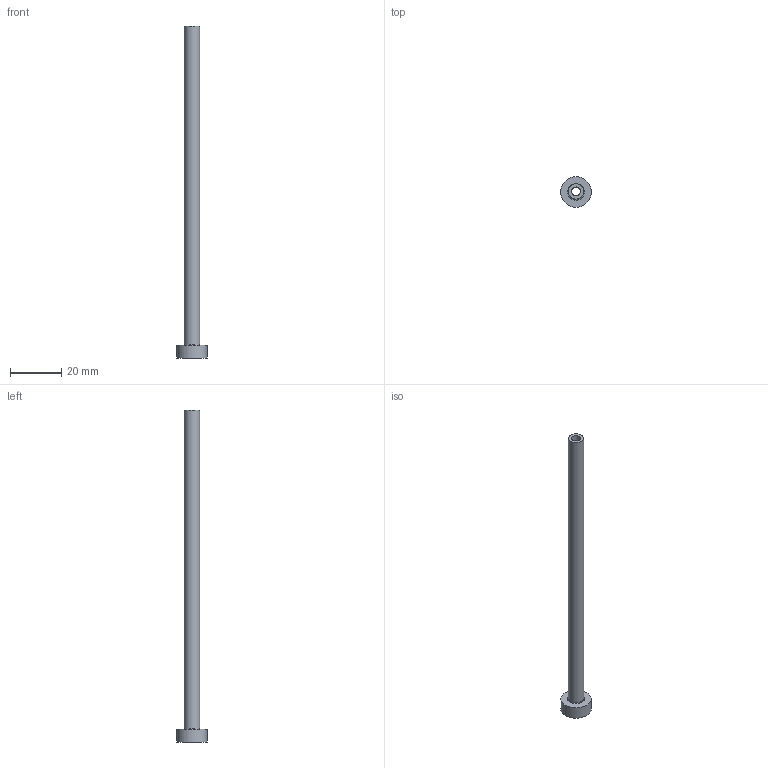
import cadquery as cq

total_length = 130.0
head_diameter = 12.0
head_height = 5.0
tube_diameter = 6.0
bore_diameter = 3.5
root_fillet_radius = 0.3


def cylinder(diameter, height):
    """Round bar on the Z axis, standing on the XY plane."""
    return cq.Workplane("XY").circle(diameter / 2).extrude(height)


def make_headed_pin():
    """Round head with a long pin rising from it, filleted where they meet."""
    pin = cylinder(head_diameter, head_height).union(cylinder(tube_diameter, total_length))
    head_top = pin.faces(cq.selectors.NearestToPointSelector((0, 0, head_height)))
    root_edge = head_top.edges(cq.selectors.RadiusNthSelector(0))
    return root_edge.fillet(root_fillet_radius)


def cut_bore(body):
    """Straight bore along the whole axis, turning the pin into a sleeve."""
    return body.cut(cylinder(bore_diameter, total_length))


result = cut_bore(make_headed_pin())